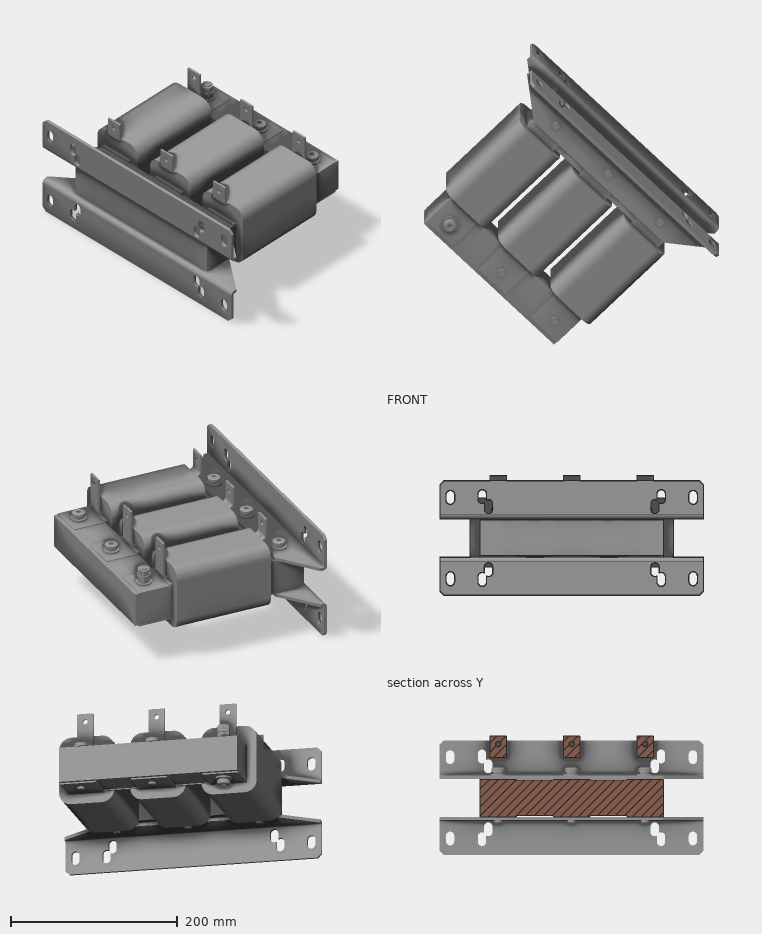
import cadquery as cq
import math

TOTAL_DEPTH = 232.75
LEG_PITCH = 88.0
LEG_WIDTH = 44.0
CORE_WIDTH = 2 * LEG_PITCH + LEG_WIDTH
CORE_DEPTH = 225.5
YOKE_DEPTH = 44.75
CORE_BOTTOM = -21.0
CORE_TOP = 21.75
YOKE_INNER_Y = CORE_DEPTH / 2 - YOKE_DEPTH
LEG_X = (-LEG_PITCH, 0.0, LEG_PITCH)

STRIP_THICKNESS = 2.0
STRIP_BOTTOM = -22.0
STRIP_TOP = 22.25
STRIP_WIDTH = CORE_WIDTH + 0.5

PLATE_SURFACE_Z = 22.75
PLATE_WIDTH = LEG_WIDTH + 0.5
PLATE_SETBACK = 5.0

COIL_WIDTH = 68.0
COIL_LENGTH = 125.5
COIL_BOTTOM = -34.75
COIL_TOP = 48.25
COIL_RADIUS = 15.0
COIL_END_Y = COIL_LENGTH / 2

LIP_TOP = 24.5
LIP_OUTER_Y = 67.0

TERMINAL_WIDTH = 20.0
TERMINAL_THICKNESS = 2.5
TERMINAL_OUTER_Y = 69.75
TERMINAL_TOP = 74.75
TERMINAL_BEND_RADIUS = TERMINAL_OUTER_Y - COIL_END_Y
TERMINAL_HOLE_DIAMETER = 6.0
TERMINAL_HOLE_DROP = 10.0
FRONT_TERMINAL_INSET = 0.25
FRONT_TERMINAL_ROOT_Z = COIL_TOP - FRONT_TERMINAL_INSET - TERMINAL_THICKNESS
BACK_TERMINAL_ROOT_Z = 25.0

BRACKET_WIDTH = 316.0
BRACKET_HEIGHT = 46.0
BRACKET_THICKNESS = 4.0
BRACKET_BEND_RADIUS = 5.5
BRACKET_FRONT_Y = CORE_DEPTH / 2 - TOTAL_DEPTH
BRACKET_BACK_Y = -74.5
BRACKET_TAPER_Y = -111.5
BRACKET_CHAMFER = 5.0
BRACKET_EDGE_Z = PLATE_SURFACE_Z + BRACKET_HEIGHT
SLOT_WIDTH = 10.0
SLOT_LENGTH = 16.5
SLOT_CENTRES = ((145.5, 48.75), (107.25, 49.5), (99.75, 37.75))

BOLT_Y = CORE_DEPTH / 2 - YOKE_DEPTH / 2
BOLT_DIAMETER = 9.0
BOLT_TIP = 2.75
WASHER_DIAMETER = 19.5
WASHER_THICKNESS = 2.0
HEAD_DIAMETER = 16.0
HEAD_HEIGHT = 5.5
HEAD_CHAMFER_HEIGHT = 1.0
HEAD_CHAMFER_WIDTH = 2.25
NECK_DIAMETER = 12.0
NECK_HEIGHT = 2.0
HEX_SIDES = 6
SOCKET_ACROSS_CORNERS = 6.5
SOCKET_DEPTH = 3.0
SOCKET_CONE_SLOPE = 30.0
NUT_ACROSS_CORNERS = 16.0
NUT_HEIGHT = 8.0
NUT_CHAMFER = 0.8
NUT_TURN = 34.0
TOP_NUT_HEIGHT = 7.25
SPRING_WASHER_DIAMETER = 16.5
SPRING_WASHER_THICKNESS = 1.75
STUD_TIP = 1.2


def block(x_size, x_centre, y_range, z_range):
    """Box centred on x_centre and spanning the given Y and Z ranges."""
    y_low, y_high = y_range
    z_low, z_high = z_range
    box = cq.Workplane("XY").box(x_size, y_high - y_low, z_high - z_low)
    return box.translate((x_centre, (y_low + y_high) / 2, (z_low + z_high) / 2))


def cylinder(diameter, height, base_z):
    return cq.Workplane("XY").workplane(offset=base_z).circle(diameter / 2).extrude(height)


def make_core():
    """Two yokes, each with an insulating strip along its inner face."""
    core_z = (CORE_BOTTOM, CORE_TOP)
    strip_z = (STRIP_BOTTOM, STRIP_TOP)
    yoke = block(CORE_WIDTH, 0, (YOKE_INNER_Y, CORE_DEPTH / 2), core_z)
    strip = block(STRIP_WIDTH, 0, (YOKE_INNER_Y - STRIP_THICKNESS, YOKE_INNER_Y), strip_z)
    yoke = yoke.union(strip)
    return yoke.union(yoke.mirror("XZ"))


def make_leg(x):
    """Core leg covered by plates on both faces, with a lip beside each coil end."""
    plate_end = CORE_DEPTH / 2 - PLATE_SETBACK
    plate_y = (-plate_end, plate_end)
    leg = block(LEG_WIDTH, x, (-YOKE_INNER_Y, YOKE_INNER_Y), (CORE_BOTTOM, CORE_TOP))
    lower_plate = block(PLATE_WIDTH, x, plate_y, (-PLATE_SURFACE_Z, CORE_BOTTOM))
    upper_plate = block(PLATE_WIDTH, x, plate_y, (CORE_TOP, PLATE_SURFACE_Z))
    lip = block(PLATE_WIDTH, x, (-LIP_OUTER_Y, LIP_OUTER_Y), (CORE_TOP, LIP_TOP))
    return leg.union(lower_plate).union(upper_plate).union(lip)


def make_coil(x):
    coil = block(COIL_WIDTH, x, (-COIL_END_Y, COIL_END_Y), (COIL_BOTTOM, COIL_TOP))
    return coil.edges("|Y").fillet(COIL_RADIUS)


def make_terminal(x, root_z):
    """Bent tab rising at the +Y end of a coil; root_z is the underside of its foot."""
    outer = TERMINAL_OUTER_Y
    inner = outer - TERMINAL_THICKNESS
    foot_top = root_z + TERMINAL_THICKNESS
    tab = (
        cq.Workplane("YZ", origin=(x - TERMINAL_WIDTH / 2, 0, 0))
        .moveTo(COIL_END_Y - TERMINAL_THICKNESS, root_z)
        .lineTo(outer - TERMINAL_BEND_RADIUS, root_z)
        .radiusArc((outer, root_z + TERMINAL_BEND_RADIUS), -TERMINAL_BEND_RADIUS)
        .lineTo(outer, TERMINAL_TOP)
        .lineTo(inner, TERMINAL_TOP)
        .lineTo(inner, root_z + TERMINAL_BEND_RADIUS)
        .radiusArc((outer - TERMINAL_BEND_RADIUS, foot_top), TERMINAL_BEND_RADIUS - TERMINAL_THICKNESS)
        .lineTo(COIL_END_Y - TERMINAL_THICKNESS, foot_top)
        .close()
        .extrude(TERMINAL_WIDTH)
    )
    hole = (
        cq.Workplane("XZ", origin=(x, 0, TERMINAL_TOP - TERMINAL_HOLE_DROP))
        .circle(TERMINAL_HOLE_DIAMETER / 2)
        .extrude(-2 * outer)
    )
    return tab.cut(hole)


def make_upper_bracket():
    """Angle bracket: a tapered flange on the leg plates and a slotted upright face."""
    upright = block(
        BRACKET_WIDTH, 0,
        (BRACKET_FRONT_Y, BRACKET_FRONT_Y + BRACKET_THICKNESS),
        (PLATE_SURFACE_Z, BRACKET_EDGE_Z),
    )
    upright = upright.edges("|Y and >Z").chamfer(BRACKET_CHAMFER)
    half_width = BRACKET_WIDTH / 2
    half_core = CORE_WIDTH / 2
    flange = (
        cq.Workplane("XY", origin=(0, 0, PLATE_SURFACE_Z))
        .polyline([
            (-half_width, BRACKET_FRONT_Y),
            (half_width, BRACKET_FRONT_Y),
            (half_width, BRACKET_TAPER_Y),
            (half_core, BRACKET_BACK_Y),
            (-half_core, BRACKET_BACK_Y),
            (-half_width, BRACKET_TAPER_Y),
        ])
        .close()
        .extrude(BRACKET_THICKNESS)
    )
    bracket = upright.union(flange)
    bracket = bracket.edges("|X and <Y and <Z").fillet(BRACKET_BEND_RADIUS)
    inner_corner = cq.selectors.NearestToPointSelector(
        (0, BRACKET_FRONT_Y + BRACKET_THICKNESS, PLATE_SURFACE_Z + BRACKET_THICKNESS)
    )
    bracket = bracket.edges("|X").edges(inner_corner).fillet(BRACKET_BEND_RADIUS - BRACKET_THICKNESS)
    slot_points = [(side * x, z) for x, z in SLOT_CENTRES for side in (-1, 1)]
    slots = (
        cq.Workplane("XZ", origin=(0, BRACKET_FRONT_Y, 0))
        .pushPoints(slot_points)
        .slot2D(SLOT_LENGTH, SLOT_WIDTH, angle=90)
        .extrude(-BRACKET_THICKNESS)
    )
    return bracket.cut(slots)


def make_hex_nut(base_z, height):
    """Turned hexagonal nut whose top corners are cut back conically."""
    nut = cq.Workplane("XY").workplane(offset=base_z).polygon(HEX_SIDES, NUT_ACROSS_CORNERS).extrude(height)
    envelope = cylinder(NUT_ACROSS_CORNERS, height, base_z).faces(">Z").chamfer(NUT_CHAMFER)
    return nut.rotate((0, 0, 0), (0, 0, 1), NUT_TURN).intersect(envelope)


def make_socket_screw(seat_z):
    """Washer, neck and round head with a hexagon socket, standing on seat_z."""
    neck_z = seat_z + WASHER_THICKNESS
    head_z = neck_z + NECK_HEIGHT
    screw = cylinder(WASHER_DIAMETER, WASHER_THICKNESS, seat_z)
    screw = screw.union(cylinder(NECK_DIAMETER, NECK_HEIGHT, neck_z))
    head = cylinder(HEAD_DIAMETER, HEAD_HEIGHT, head_z)
    head = head.faces(">Z").chamfer(HEAD_CHAMFER_HEIGHT, HEAD_CHAMFER_WIDTH)
    socket_z = head_z + HEAD_HEIGHT - SOCKET_DEPTH
    socket = (
        cq.Workplane("XY")
        .workplane(offset=socket_z)
        .polygon(HEX_SIDES, SOCKET_ACROSS_CORNERS)
        .extrude(SOCKET_DEPTH)
    )
    cone_radius = SOCKET_ACROSS_CORNERS / 2 * math.cos(math.pi / HEX_SIDES)
    cone_height = cone_radius * math.tan(math.radians(SOCKET_CONE_SLOPE))
    cone = cq.Solid.makeCone(
        0, cone_radius, cone_height, pnt=cq.Vector(0, 0, socket_z - cone_height)
    )
    return screw.union(head).cut(socket).cut(cq.Workplane(cone))


def make_screw_joint(surface_z):
    """Socket screw standing on surface_z with its end showing below -surface_z."""
    tip = cylinder(BOLT_DIAMETER, BOLT_TIP, -surface_z - BOLT_TIP)
    return make_socket_screw(surface_z).union(tip)


def make_earth_joint(surface_z):
    """Screw inserted from below, carrying two nuts and a spring washer on top."""
    lower_nut_z = surface_z + WASHER_THICKNESS
    spring_z = lower_nut_z + NUT_HEIGHT
    top_nut_z = spring_z + SPRING_WASHER_THICKNESS
    joint = make_socket_screw(surface_z).mirror("XY")
    joint = joint.union(cylinder(WASHER_DIAMETER, WASHER_THICKNESS, surface_z))
    joint = joint.union(make_hex_nut(lower_nut_z, NUT_HEIGHT))
    joint = joint.union(cylinder(SPRING_WASHER_DIAMETER, SPRING_WASHER_THICKNESS, spring_z))
    joint = joint.union(make_hex_nut(top_nut_z, TOP_NUT_HEIGHT))
    stud = cylinder(BOLT_DIAMETER, TOP_NUT_HEIGHT + STUD_TIP, top_nut_z)
    return joint.union(stud)


result = make_core()
for leg_x in LEG_X:
    result = result.union(make_leg(leg_x)).union(make_coil(leg_x))
    result = result.union(make_terminal(leg_x, BACK_TERMINAL_ROOT_Z))
    result = result.union(make_terminal(leg_x, FRONT_TERMINAL_ROOT_Z).mirror("XZ"))

upper_bracket = make_upper_bracket()
result = result.union(upper_bracket).union(upper_bracket.mirror("XY"))

flange_surface_z = PLATE_SURFACE_Z + BRACKET_THICKNESS
earth_x = LEG_X[0]
for leg_x in LEG_X:
    front_joint = make_screw_joint(flange_surface_z)
    result = result.union(front_joint.translate((leg_x, -BOLT_Y, 0)))
    make_back_joint = make_earth_joint if leg_x == earth_x else make_screw_joint
    back_joint = make_back_joint(PLATE_SURFACE_Z)
    result = result.union(back_joint.translate((leg_x, BOLT_Y, 0)))